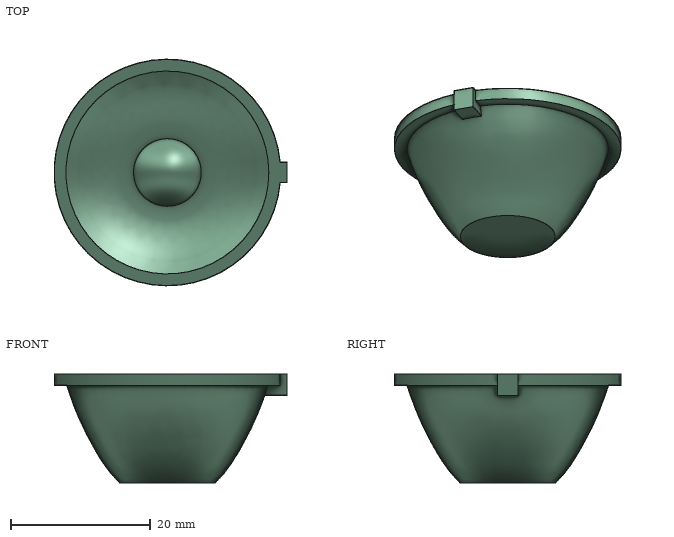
import cadquery as cq
import math

height = 15.7
flange_radius = 16.25
flange_thickness = 1.67
flange_bottom = height - flange_thickness

body_bottom = (6.8, 0)
body_curve = [(8.75, 2.25), (10.3, 4.65), (12.37, 8.63)]
body_top = (14.45, flange_bottom)

dish_radius = 14.55
dish_depth = 2.57
dome_radius = 4.85

tab_reach = 17.2
tab_width = 2.95
tab_height = 3.08
tab_inner_end = 12.05


def arc_radius(offset, sag):
    """Radius of an arc that drops by sag at a sideways offset from its level point."""
    return (offset**2 + sag**2) / (2 * sag)


def arc_sag(radius, offset):
    """Drop of an arc at a sideways offset from its level point."""
    return radius - math.sqrt(radius**2 - offset**2)


def make_body():
    """Revolve the half section of funnel, flange, dish and dome about Z."""
    dome_middle = dome_radius / 2
    dome_sag = arc_sag(arc_radius(dome_radius, dish_depth), dome_middle)

    dish_floor = height - dish_depth
    dish_width = dish_radius - dome_radius
    dish_middle = dome_radius + dish_width / 2
    dish_rise = arc_sag(arc_radius(dish_width, dish_depth), dish_width / 2)

    section = (
        cq.Workplane("XZ")
        .lineTo(*body_bottom)
        .spline(body_curve + [body_top], includeCurrent=True)
        .lineTo(flange_radius, flange_bottom)
        .lineTo(flange_radius, height)
        .lineTo(dish_radius, height)
        .threePointArc((dish_middle, dish_floor + dish_rise), (dome_radius, dish_floor))
        .threePointArc((dome_middle, height - dome_sag), (0, height))
        .close()
    )
    return section.revolve(360, (0, 0, 0), (0, 1, 0))


def make_tab():
    """Tab flush with the rim, its lower part reaching inward to the body wall below the dish."""
    tab_bottom = height - tab_height
    flange_middle = (dish_radius + flange_radius) / 2
    side = (
        cq.Workplane("XZ")
        .moveTo(tab_inner_end, tab_bottom)
        .lineTo(tab_reach, tab_bottom)
        .lineTo(tab_reach, height)
        .lineTo(flange_middle, height)
        .lineTo(flange_middle, flange_bottom)
        .lineTo(tab_inner_end, flange_bottom)
        .close()
    )
    return side.extrude(tab_width / 2, both=True)


result = make_body().union(make_tab())